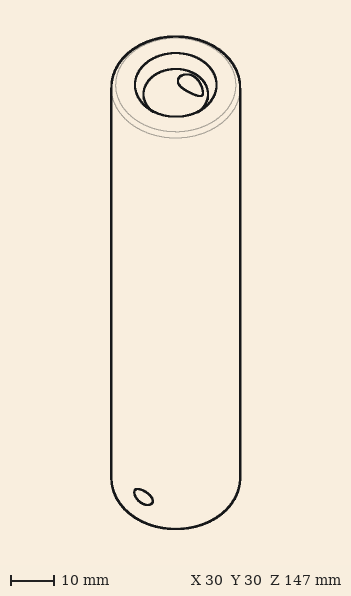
import cadquery as cq
import math

length = 147.0
diameter = 30.0
edge_fillet = 1.0

bore_diameter = 15.0
bore_depth = 73.5
mouth_diameter = 19.0
mouth_angle = 60.0

pin_hole_diameter = 5.0
pin_hole_height = 10.0

screw_hole_diameter = 6.8
screw_hole_drop = 8.0


def bar():
    return cq.Workplane("XY").circle(diameter / 2).extrude(length).faces("<Z or >Z").fillet(edge_fillet)


def bore():
    bore_radius = bore_diameter / 2
    mouth_radius = mouth_diameter / 2
    mouth_depth = (mouth_radius - bore_radius) / math.tan(math.radians(mouth_angle / 2))
    floor = length - bore_depth
    profile = [
        (0, floor),
        (bore_radius, floor),
        (bore_radius, length - mouth_depth),
        (mouth_radius, length),
        (0, length),
    ]
    return cq.Workplane("XZ").polyline(profile).close().revolve(360, (0, 0), (0, 1))


def pin_hole():
    plane = cq.Workplane("XZ").center(0, pin_hole_height)
    return plane.circle(pin_hole_diameter / 2).extrude(diameter, both=True)


def screw_hole():
    plane = cq.Workplane("XZ").center(0, length - screw_hole_drop)
    return plane.circle(screw_hole_diameter / 2).extrude(-diameter)


result = bar().cut(bore()).cut(pin_hole()).cut(screw_hole())